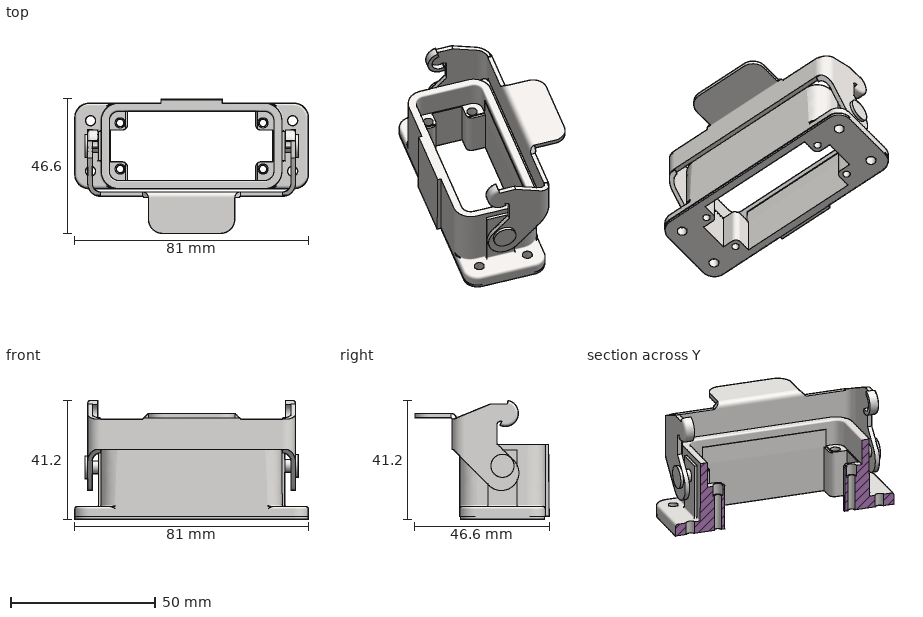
import cadquery as cq
import math

FLANGE_LENGTH = 81.0
FLANGE_WIDTH = 29.7
FLANGE_HEIGHT = 4.5
FLANGE_CORNER = 5.0
FLANGE_EDGE_FILLET = 1.0
FOOT_HEIGHT = 1.0
FOOT_INSET = 0.25
MOUNT_HOLE_DIAMETER = 3.4
MOUNT_HOLE_X = 35.0
MOUNT_HOLE_Y = 8.75

HOUSING_TOP = 26.0
HOUSING_LENGTH = 62.6
HOUSING_CORNER = 6.3
HOUSING_DRAFT = 0.36
ROOT_FILLET = 0.4
PAD_TOP = 24.0
PAD_WIDTH = 10.0
PAD_FACE_X = 32.3
BACK_RIB_LENGTH = 21.3
BACK_RIB_TOP_Y = 16.0
BACK_RIB_FOOT_Y = 16.23

CAVITY_LENGTH = 57.0
CAVITY_WIDTH = 23.9
CAVITY_CORNER = 3.2
RIM_FILLET = 0.6
LOWER_CAVITY_LENGTH = 56.2
POST_TOP = 16.8
POST_INNER_X = 22.15
POST_INNER_Y = 5.45
POST_CORNER = 2.0
POST_HOLE_X = 24.75
POST_HOLE_Y = 8.0
POST_HOLE_DIAMETER = 2.5
POST_BORE_DIAMETER = 3.5
POST_BORE_DEPTH = 4.0
RELIEF_HALF_LENGTH = 22.9
RELIEF_TOP = 22.9
RELIEF_BOTTOM = 16.4
RELIEF_DEPTH = 0.25

SHEET = 1.6
LEVER_HALF_LENGTH = 36.0
LEVER_FRONT_Y = -17.5
LEVER_BEND_RADIUS = 4.5
BAND_TOP = 34.75
BAND_BOTTOM = 24.15
ARM_TOP = 40.0
ARM_SHOULDER_Y = -4.2
ARM_SLOPE_END_Y = -17.0
ARM_BACK_Y = -1.85
ARM_ROUND_Y = -0.4
ARM_ROUND_Z = 16.1
ARM_ROUND_RADIUS = 6.1
HOOK_Y = 0.95
HOOK_Z = 36.75
HOOK_RADIUS = 4.6
HOOK_RIM = 1.5
HOOK_REACH = 3.5
HOOK_EDGE_FILLET = 1.0
HOOK_TIP_ANGLE = 78.0
HOOK_END_ANGLE = -114.0
NOTCH_RADIUS = 1.1

TAB_LENGTH = 30.0
TAB_END_Y = -30.35
TAB_CORNER = 5.0
TAB_TOP = 36.75
TAB_BEND_INNER = 0.4
TAB_FLARE = 2.0

PIN_DIAMETER = 4.5
PIN_HEAD_DIAMETER = 8.0
PIN_HEAD_FACE_X = 37.0
LEFT_PIN_Z = 18.0
RIGHT_PIN_Z = 18.55

SIDES = (-1, 1)
DIAGONAL = math.sqrt(0.5)


def box(x_min, x_max, y_min, y_max, z_min, z_max):
    """Axis-aligned block between two opposite corners."""
    sized = cq.Workplane("XY").box(x_max - x_min, y_max - y_min, z_max - z_min, centered=False)
    return sized.translate((x_min, y_min, z_min))


def rounded_block(length, width, corner, bottom, top):
    """Centred block with rounded vertical edges."""
    block = box(-length / 2, length / 2, -width / 2, width / 2, bottom, top)
    return block.edges("|Z").fillet(corner)


def corner_points(x, y):
    """The four points mirrored about both centre planes."""
    return [(sx * x, sy * y) for sx in SIDES for sy in SIDES]


def polar(angle, radius):
    """Point at an angle (degrees from +Y toward +Z) and radius about the hook centre."""
    turn = math.radians(angle)
    return (HOOK_Y + radius * math.cos(turn), HOOK_Z + radius * math.sin(turn))


def make_flange():
    plate = rounded_block(FLANGE_LENGTH, FLANGE_WIDTH, FLANGE_CORNER, FOOT_HEIGHT, FLANGE_HEIGHT)
    plate = plate.faces(">Z").edges().fillet(FLANGE_EDGE_FILLET)
    foot_width = FLANGE_WIDTH - 2 * FOOT_INSET
    foot = rounded_block(FLANGE_LENGTH, foot_width, FLANGE_CORNER, 0, FOOT_HEIGHT)
    return plate.union(foot)


def make_pads():
    """Flat bosses on both ends that carry the lever pins."""
    return box(-PAD_FACE_X, PAD_FACE_X, -PAD_WIDTH / 2, PAD_WIDTH / 2, FOOT_HEIGHT, PAD_TOP)


def make_shell():
    """Drafted housing block with pin pads, whose long faces are trimmed flush with the flange."""
    height = HOUSING_TOP - FOOT_HEIGHT
    growth = 2 * height * math.tan(math.radians(HOUSING_DRAFT))
    drafted = (
        cq.Workplane("XY", origin=(0, 0, FOOT_HEIGHT))
        .sketch()
        .rect(HOUSING_LENGTH + growth, FLANGE_WIDTH + growth)
        .vertices()
        .fillet(HOUSING_CORNER)
        .finalize()
        .extrude(height, taper=HOUSING_DRAFT)
    )
    half_length = FLANGE_LENGTH / 2
    half_width = FLANGE_WIDTH / 2
    trim = box(-half_length, half_length, -half_width, half_width, FOOT_HEIGHT, HOUSING_TOP)
    ends = drafted.union(make_pads())
    return ends.union(make_root_skirt(ends)).intersect(trim)


def make_root_skirt(ends):
    """The housing ends above the flange, with a concave fillet around its foot."""
    half_floor = FLANGE_LENGTH / 2
    half_foot = half_floor - FLANGE_CORNER
    floor = box(-half_floor, half_floor, -half_floor, half_floor, FOOT_HEIGHT, FLANGE_HEIGHT)
    joined = floor.union(ends)
    inner_edges = cq.selectors.BoxSelector(
        (-half_foot, -half_foot, FLANGE_HEIGHT - ROOT_FILLET / 2),
        (half_foot, half_foot, FLANGE_HEIGHT + ROOT_FILLET / 2),
    )
    return joined.edges(inner_edges).fillet(ROOT_FILLET).cut(floor)


def make_back_rib():
    profile = [
        (0, FOOT_HEIGHT),
        (BACK_RIB_FOOT_Y, FOOT_HEIGHT),
        (BACK_RIB_TOP_Y, HOUSING_TOP),
        (0, HOUSING_TOP),
    ]
    return cq.Workplane("YZ").polyline(profile).close().extrude(BACK_RIB_LENGTH / 2, both=True)


def make_wall_relief(side):
    """Shallow wedge that runs out downward in a long cavity wall."""
    wall_y = side * CAVITY_WIDTH / 2
    profile = [
        (0, RELIEF_TOP),
        (wall_y + side * RELIEF_DEPTH, RELIEF_TOP),
        (wall_y, RELIEF_BOTTOM),
        (0, RELIEF_BOTTOM),
    ]
    return cq.Workplane("YZ").polyline(profile).close().extrude(RELIEF_HALF_LENGTH, both=True)


def make_cavity():
    """Space inside the housing, leaving the four corner posts standing."""
    upper = rounded_block(CAVITY_LENGTH, CAVITY_WIDTH, CAVITY_CORNER, POST_TOP, HOUSING_TOP)
    half_length = LOWER_CAVITY_LENGTH / 2
    half_width = CAVITY_WIDTH / 2
    cavity = upper.union(box(-half_length, half_length, -half_width, half_width, 0, POST_TOP))
    for sx, sy in corner_points(1, 1):
        x_range = sorted((sx * POST_INNER_X, sx * CAVITY_LENGTH / 2))
        y_range = sorted((sy * POST_INNER_Y, sy * CAVITY_WIDTH / 2))
        inner_corner = ("<" if sx > 0 else ">") + "X and " + ("<" if sy > 0 else ">") + "Y"
        post = box(*x_range, *y_range, 0, POST_TOP)
        cavity = cavity.cut(post.edges("|Z").edges(inner_corner).fillet(POST_CORNER))
    for side in SIDES:
        cavity = cavity.union(make_wall_relief(side))
    return cavity


def cut_post_holes(body):
    holes = corner_points(POST_HOLE_X, POST_HOLE_Y)
    through = cq.Workplane("XY").pushPoints(holes).circle(POST_HOLE_DIAMETER / 2).extrude(POST_TOP)
    bore_floor = cq.Workplane("XY", origin=(0, 0, POST_TOP - POST_BORE_DEPTH))
    bores = bore_floor.pushPoints(holes).circle(POST_BORE_DIAMETER / 2).extrude(POST_BORE_DEPTH)
    return body.cut(through).cut(bores)


def make_housing():
    body = make_flange().union(make_shell())
    body = body.union(make_back_rib()).cut(make_cavity())
    reach_x = CAVITY_LENGTH / 2 + RIM_FILLET
    reach_y = CAVITY_WIDTH / 2 + RIM_FILLET
    rim_selector = cq.selectors.BoxSelector(
        (-reach_x, -reach_y, HOUSING_TOP - RIM_FILLET),
        (reach_x, reach_y, HOUSING_TOP + RIM_FILLET),
    )
    body = body.edges(rim_selector).fillet(RIM_FILLET)
    body = cut_post_holes(body)
    mount_holes = (
        cq.Workplane("XY")
        .pushPoints(corner_points(MOUNT_HOLE_X, MOUNT_HOLE_Y))
        .circle(MOUNT_HOLE_DIAMETER / 2)
        .extrude(FLANGE_HEIGHT)
    )
    return body.cut(mount_holes)


def make_arm_profile():
    """Side outline of the lever: pivot round, hook at the back, band at the front."""
    offset = ARM_ROUND_RADIUS * DIAGONAL
    back_tangent = (ARM_ROUND_Y + offset, ARM_ROUND_Z + offset)
    front_tangent = (ARM_ROUND_Y - offset, ARM_ROUND_Z - offset)
    round_middle = (ARM_ROUND_Y + offset, ARM_ROUND_Z - offset)
    band_foot_y = front_tangent[0] - (BAND_BOTTOM - front_tangent[1])
    arm_back_foot_z = back_tangent[1] + back_tangent[0] - ARM_BACK_Y

    tip_cut = (ARM_TOP - HOOK_Z) / math.sin(math.radians(HOOK_TIP_ANGLE))
    hook_middle = (HOOK_TIP_ANGLE + HOOK_END_ANGLE) / 2
    hook_end = polar(HOOK_END_ANGLE, HOOK_RADIUS)
    notch_start = polar(HOOK_END_ANGLE, HOOK_RADIUS - HOOK_RIM)
    notch_top = notch_start[1]
    notch_end = (ARM_BACK_Y, notch_top - NOTCH_RADIUS)
    notch_sag = NOTCH_RADIUS * (1 - DIAGONAL)
    notch_middle = (ARM_BACK_Y + notch_sag, notch_top - notch_sag)
    return (
        cq.Workplane("YZ")
        .moveTo(LEVER_FRONT_Y, BAND_BOTTOM)
        .lineTo(band_foot_y, BAND_BOTTOM)
        .lineTo(*front_tangent)
        .threePointArc(round_middle, back_tangent)
        .lineTo(ARM_BACK_Y, arm_back_foot_z)
        .lineTo(*notch_end)
        .threePointArc(notch_middle, (ARM_BACK_Y + NOTCH_RADIUS, notch_top))
        .lineTo(*notch_start)
        .lineTo(*hook_end)
        .threePointArc(polar(hook_middle, HOOK_RADIUS), polar(HOOK_TIP_ANGLE, HOOK_RADIUS))
        .lineTo(*polar(HOOK_TIP_ANGLE, tip_cut))
        .lineTo(ARM_SHOULDER_Y, ARM_TOP)
        .lineTo(ARM_SLOPE_END_Y, BAND_TOP)
        .lineTo(LEVER_FRONT_Y, BAND_TOP)
        .close()
    )


def make_hook_rim(side):
    """Curled lip that turns inward around the hook."""
    inner = HOOK_RADIUS - HOOK_RIM
    middle = (HOOK_TIP_ANGLE + HOOK_END_ANGLE) / 2
    return (
        cq.Workplane("YZ", origin=(side * LEVER_HALF_LENGTH, 0, 0))
        .moveTo(*polar(HOOK_END_ANGLE, HOOK_RADIUS))
        .threePointArc(polar(middle, HOOK_RADIUS), polar(HOOK_TIP_ANGLE, HOOK_RADIUS))
        .lineTo(*polar(HOOK_TIP_ANGLE, inner))
        .threePointArc(polar(middle, inner), polar(HOOK_END_ANGLE, inner))
        .close()
        .extrude(-side * HOOK_REACH)
    )


def make_bracket():
    """U-shaped strap with both arms and their hooks."""
    back_y = HOOK_Y + 2 * HOOK_RADIUS
    outer = box(-LEVER_HALF_LENGTH, LEVER_HALF_LENGTH, LEVER_FRONT_Y, back_y, 0, 2 * ARM_TOP)
    outer = outer.edges("|Z and <Y").fillet(LEVER_BEND_RADIUS)
    inner_half = LEVER_HALF_LENGTH - SHEET
    inner = box(-inner_half, inner_half, LEVER_FRONT_Y + SHEET, back_y, 0, 2 * ARM_TOP)
    inner = inner.edges("|Z and <Y").fillet(LEVER_BEND_RADIUS - SHEET)
    strap = outer.cut(inner)
    bracket = strap.intersect(make_arm_profile().extrude(LEVER_HALF_LENGTH, both=True))
    straight_half = LEVER_HALF_LENGTH - LEVER_BEND_RADIUS
    band_back_y = LEVER_FRONT_Y + SHEET
    for bottom, top in ((0, BAND_BOTTOM), (BAND_TOP, 2 * ARM_TOP)):
        bracket = bracket.cut(box(-straight_half, straight_half, LEVER_FRONT_Y, band_back_y, bottom, top))
    for side in SIDES:
        bracket = bracket.union(make_hook_rim(side))
        edge_point = (side * LEVER_HALF_LENGTH, HOOK_Y + HOOK_RADIUS, HOOK_Z)
        hook_edge = cq.selectors.NearestToPointSelector(edge_point)
        bracket = bracket.edges("%CIRCLE").edges(hook_edge).fillet(HOOK_EDGE_FILLET)
    return bracket


def make_tab():
    """Thumb tab bent forward from the top of the band, flared at its root."""
    bend_outer = TAB_BEND_INNER + SHEET
    band_back_y = LEVER_FRONT_Y + SHEET
    bend_y = band_back_y - bend_outer
    bend_z = TAB_TOP - bend_outer
    tab_bottom = TAB_TOP - SHEET
    outer_offset = bend_outer * DIAGONAL
    inner_offset = TAB_BEND_INNER * DIAGONAL
    root_half = TAB_LENGTH / 2 + TAB_FLARE
    bend = (
        cq.Workplane("YZ")
        .moveTo(band_back_y, bend_z)
        .threePointArc((bend_y + outer_offset, bend_z + outer_offset), (bend_y, TAB_TOP))
        .lineTo(bend_y, tab_bottom)
        .threePointArc((bend_y + inner_offset, bend_z + inner_offset), (LEVER_FRONT_Y, bend_z))
        .close()
        .extrude(root_half, both=True)
    )
    flare = [
        (-root_half, bend_z),
        (root_half, bend_z),
        (TAB_LENGTH / 2, TAB_TOP),
        (-TAB_LENGTH / 2, TAB_TOP),
    ]
    trim = cq.Workplane("XZ").polyline(flare).close().extrude(-TAB_END_Y)
    plate = box(-TAB_LENGTH / 2, TAB_LENGTH / 2, TAB_END_Y, bend_y, tab_bottom, TAB_TOP)
    plate = plate.edges("|Z and <Y").fillet(TAB_CORNER)
    return bend.intersect(trim).union(plate)


def make_pin(side, pin_z):
    """Headed pin joining a lever arm to its pad."""
    start = cq.Workplane("YZ", origin=(side * HOUSING_LENGTH / 2, 0, pin_z))
    shank = start.circle(PIN_DIAMETER / 2).extrude(side * (LEVER_HALF_LENGTH - HOUSING_LENGTH / 2))
    head_plane = cq.Workplane("YZ", origin=(side * LEVER_HALF_LENGTH, 0, pin_z))
    head = head_plane.circle(PIN_HEAD_DIAMETER / 2).extrude(side * (PIN_HEAD_FACE_X - LEVER_HALF_LENGTH))
    return shank.union(head)


lever = make_bracket().union(make_tab())
result = make_housing().union(lever)
for pin_side, pin_height in ((-1, LEFT_PIN_Z), (1, RIGHT_PIN_Z)):
    result = result.union(make_pin(pin_side, pin_height))